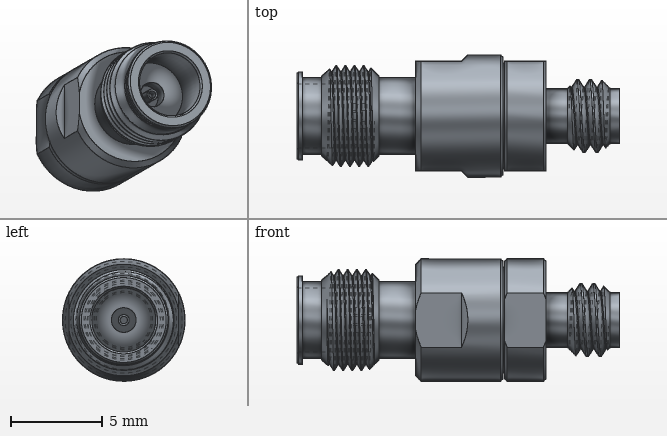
import cadquery as cq
import math


total_length = 17.65

rim_width = 0.3
rim_radius = 2.42
rim_chamfer = 0.1
neck_radius = 2.11
large_thread_start = 1.35
large_thread_end = 4.5
large_thread_pitch = 0.5
large_crest_radius = 2.75
large_root_radius = 2.44
large_crest_flat = 0.05
large_lead_length = 0.65
large_thread_end_radius = 2.18
large_first_crest = 0.53

body_radius = 3.35
body_start = 6.5
body_end = 11.28
body_front_chamfer = 0.3
edge_chamfer = 0.15
groove_width = 0.07
groove_radius = 2.9
nut_start = body_end + groove_width
nut_end = 13.63
flat_offset = 3.0
body_flat_end = 9.0

shaft_radius = 1.5
small_thread_start = 14.8
small_thread_end = 17.13
small_thread_pitch = 0.7
small_crest_radius = 2.0
small_root_radius = 1.58
small_crest_flat = 0.1
small_first_crest = 14.48

root_flat = 0.06
groove_overrun = 0.03

bore_radius = 1.85 - rim_chamfer
bore_depth = 3.0
line_radius = 0.675
line_depth = 1.0
contact_radius = 0.3
socket_radius = 0.2
socket_depth = 0.6


def cylinder(start, end, radius):
    """Solid cylinder on the X axis."""
    return cq.Workplane("YZ", origin=(start, 0, 0)).circle(radius).extrude(end - start)


def revolve_about_x(points):
    """Solid of revolution from (x, radius) points."""
    return cq.Workplane("XY").polyline(points).close().revolve(360, (0, 0, 0), (1, 0, 0))


def helical_groove(first_crest, last_crest, pitch, root_radius, crest_radius, crest_flat):
    """Right-handed thread groove; the crests it leaves start on the -Z side at first_crest."""
    half_root = root_flat / 2
    half_mouth = (pitch - crest_flat) / 2
    slope = (half_mouth - half_root) / (crest_radius - root_radius)
    tool_radius = crest_radius + groove_overrun
    half_tool = half_mouth + slope * groove_overrun
    profile = [
        (root_radius, -half_root),
        (tool_radius, -half_tool),
        (tool_radius, half_tool),
        (root_radius, half_root),
    ]
    length = math.ceil((last_crest - first_crest) / pitch) * pitch
    path = cq.Workplane(obj=cq.Wire.makeHelix(pitch, length, root_radius))
    groove = cq.Workplane("XZ").polyline(profile).close().sweep(path, isFrenet=True)
    groove = groove.rotate((0, 0, 0), (0, 1, 0), 90)
    return groove.translate((first_crest + pitch / 2, 0, 0))


def thread(start, end, first_crest, pitch, root_radius, crest_radius, crest_flat,
           end_radius, lead_length):
    """Threaded length with conical ends; the +X cone is at 45 degrees."""
    runout_length = crest_radius - end_radius
    envelope = revolve_about_x([
        (start, 0),
        (start, end_radius),
        (start + lead_length, crest_radius),
        (end - runout_length, crest_radius),
        (end, end_radius),
        (end, 0),
    ])
    groove = helical_groove(first_crest, end + pitch, pitch, root_radius, crest_radius, crest_flat)
    rod = cylinder(start - 2 * pitch, end + 2 * pitch, crest_radius)
    return rod.cut(groove).intersect(envelope)


def wrench_flats(start, end, end_slope):
    """Material removed beyond the +Y and -Y flats; end_slope is the run-out along X per unit of Y."""
    clearance = 1.0
    top = body_radius + clearance
    outline = [
        (start, flat_offset),
        (end, flat_offset),
        (end + end_slope * (top - flat_offset), top),
        (start, top),
    ]
    upper = (
        cq.Workplane("XY", origin=(0, 0, -body_radius))
        .polyline(outline).close().extrude(2 * body_radius)
    )
    return upper.union(upper.mirror("XZ"))


def large_end():
    rim = cylinder(0, rim_width, rim_radius).faces("<X").chamfer(rim_chamfer)
    neck = cylinder(0, body_start, neck_radius)
    threaded = thread(
        large_thread_start, large_thread_end, large_first_crest, large_thread_pitch,
        large_root_radius, large_crest_radius, large_crest_flat,
        large_thread_end_radius, large_lead_length,
    )
    return threaded.union(neck).union(rim)


def body_and_nut():
    body = cylinder(body_start, body_end, body_radius)
    body = body.faces("<X").chamfer(body_front_chamfer).faces(">X").chamfer(edge_chamfer)
    body = body.cut(wrench_flats(body_start, body_flat_end, end_slope=1))
    nut = cylinder(nut_start, nut_end, body_radius).faces("<X or >X").chamfer(edge_chamfer)
    nut = nut.cut(wrench_flats(nut_start, nut_end, end_slope=0))
    return body.union(cylinder(body_start, nut_end, groove_radius)).union(nut)


def small_end():
    shaft = cylinder(nut_end, total_length, shaft_radius)
    threaded = thread(
        small_thread_start, small_thread_end, small_first_crest, small_thread_pitch,
        small_root_radius, small_crest_radius, small_crest_flat,
        shaft_radius, small_crest_radius - shaft_radius,
    )
    return threaded.union(shaft)


def contact_cavity():
    """Bore with a chamfered mouth, and below it an annular space around the hollow contact."""
    bore = revolve_about_x([
        (0, 0),
        (0, bore_radius + rim_chamfer),
        (rim_chamfer, bore_radius),
        (bore_depth, bore_radius),
        (bore_depth, 0),
    ])
    annulus = cylinder(bore_depth, bore_depth + line_depth, line_radius)
    annulus = annulus.cut(cylinder(bore_depth, bore_depth + line_depth, contact_radius))
    socket = cylinder(bore_depth, bore_depth + socket_depth, socket_radius)
    return bore.union(annulus).union(socket)


adapter = body_and_nut().union(large_end()).union(small_end()).cut(contact_cavity())
result = adapter.solids()